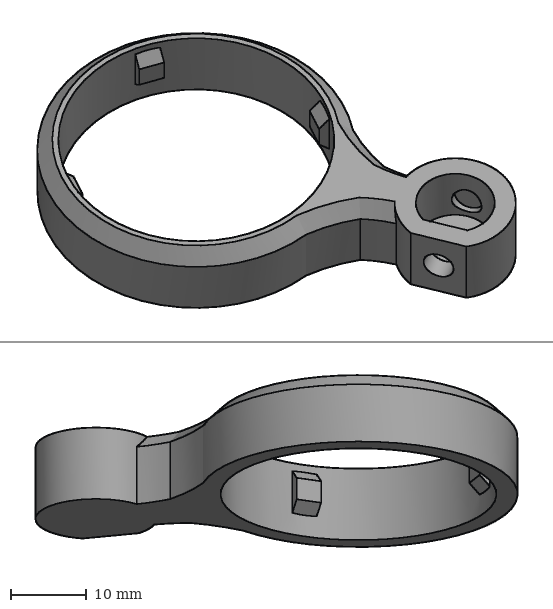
import math

import cadquery as cq

height = 10.0
top_chamfer = 2.0
bevel_angle = 45.0

ring_radius = 21.0
ring_bore_radius = 36.4 / 2

tab_count = 4
tab_first_angle = 39.0
tab_width = 3.5
tab_face_height = 3.0
tab_slope_height = 1.5
tab_protrusion = 1.55
tab_bottom = 2.95
tab_root_overlap = 0.5

boss_x = 36.0
boss_radius = 8.0
boss_wall = 2.8
boss_flat_distance = 7.0
pocket_radius = boss_radius - boss_wall
pocket_flat_distance = boss_flat_distance - boss_wall
pocket_floor = 2.0

screw_diameter = 4.15
screw_end_y = 6.0

arm_root_angle = 28.0
arm_knee_x = 24.45
arm_knee_y = 4.95
arm_tip_x = 31.0
arm_tip_y = 4.3
arm_root_radius = 24.0
arm_tip_radius = 20.0


def make_d_disc(radius, flat_distance, bottom):
    """Upright cylinder at the boss centre, cut flat on its -Y side, up to the top face."""
    flat_half_width = math.sqrt(radius**2 - flat_distance**2)
    return (
        cq.Workplane("XY", origin=(boss_x, 0, bottom))
        .moveTo(-flat_half_width, -flat_distance)
        .threePointArc((0, radius), (flat_half_width, -flat_distance))
        .close()
        .extrude(height - bottom)
    )


def make_ring_disc():
    """Full disc of the ring with its top edge chamfered."""
    return cq.Workplane("XY").circle(ring_radius).extrude(height).faces(">Z").chamfer(top_chamfer)


def waist_center(start, end, radius):
    """Centre, on the outer (+Y) side, of an arc of the given radius from start to end."""
    run = end[0] - start[0]
    rise = end[1] - start[1]
    chord = math.hypot(run, rise)
    offset = math.sqrt(radius**2 - (chord / 2) ** 2)
    center_x = (start[0] + end[0]) / 2 - offset * rise / chord
    center_y = (start[1] + end[1]) / 2 + offset * run / chord
    return center_x, center_y


def make_waist_cutter(center, radius):
    """Upright cylinder that hollows one arm side, flared upward to bevel the top edge."""
    shoulder = height - top_chamfer
    center_x, center_y = center
    wall = cq.Workplane("XY", origin=(center_x, center_y, 0)).circle(radius).extrude(shoulder)
    bevel = (
        cq.Workplane("XY", origin=(center_x, center_y, shoulder))
        .circle(radius)
        .extrude(top_chamfer, taper=-bevel_angle)
    )
    return wall.union(bevel)


def make_arm_section(start, end, radius):
    """Bar from the ring centre to the arm tip, hollowed on both sides by one waist arc."""
    bar = (
        cq.Workplane("XY", origin=(arm_tip_x / 2, 0, 0))
        .rect(arm_tip_x, 2 * start[1])
        .extrude(height)
    )
    cutter = make_waist_cutter(waist_center(start, end, radius), radius)
    return bar.cut(cutter).cut(cutter.mirror("XZ"))


def make_tab(angle):
    """Trapezoidal snap tab with sloped top and bottom, rooted in the ring wall."""
    root = ring_bore_radius + tab_root_overlap
    tip = ring_bore_radius - tab_protrusion
    face_bottom = tab_bottom + tab_slope_height
    face_top = face_bottom + tab_face_height
    tab_top = face_top + tab_slope_height
    profile = [
        (root, tab_bottom),
        (ring_bore_radius, tab_bottom),
        (tip, face_bottom),
        (tip, face_top),
        (ring_bore_radius, tab_top),
        (root, tab_top),
    ]
    tab = cq.Workplane("XZ").polyline(profile).close().extrude(tab_width / 2, both=True)
    return tab.rotate((0, 0, 0), (0, 0, 1), angle)


def make_screw_hole():
    """Horizontal hole along +Y at mid height of the boss."""
    return (
        cq.Workplane("XZ", origin=(boss_x, screw_end_y, height / 2))
        .circle(screw_diameter / 2)
        .extrude(screw_end_y + boss_radius)
    )


ring_bore = cq.Workplane("XY").circle(ring_bore_radius).extrude(height)

arm_root = (
    ring_radius * math.cos(math.radians(arm_root_angle)),
    ring_radius * math.sin(math.radians(arm_root_angle)),
)
arm_knee = (arm_knee_x, arm_knee_y)
arm_tip = (arm_tip_x, arm_tip_y)

result = make_ring_disc()
result = result.union(make_arm_section(arm_root, arm_knee, arm_root_radius))
result = result.union(make_arm_section(arm_knee, arm_tip, arm_tip_radius))
result = result.union(make_d_disc(boss_radius, boss_flat_distance, 0))
result = result.cut(ring_bore)
result = result.cut(make_d_disc(pocket_radius, pocket_flat_distance, pocket_floor))
result = result.cut(make_screw_hole())
for index in range(tab_count):
    result = result.union(make_tab(tab_first_angle + index * 360 / tab_count))